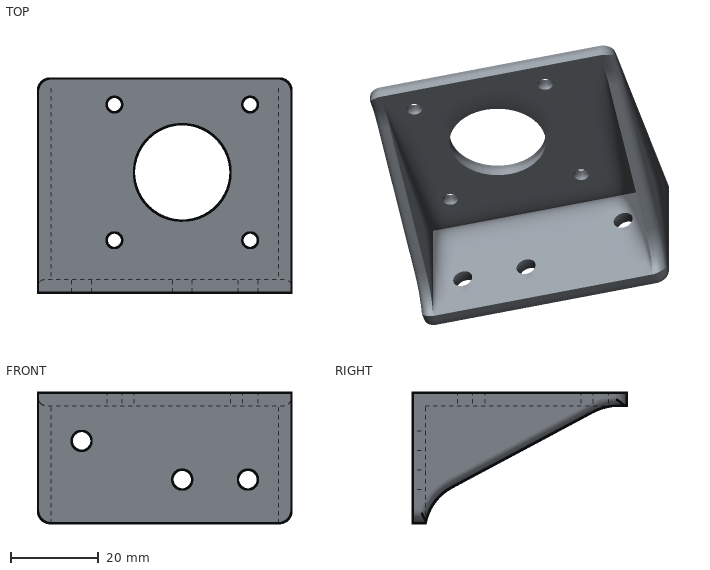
import cadquery as cq
import math

width = 58.0
depth = 49.0
height = 29.85
wall = 3.0

slope_angle = math.radians(28.1)
tip_flat = 2.0
upper_arc_radius = 12.5
lower_arc_radius = 11.4

corner_radius = 3.0
gusset_edge_radius = 2.0

motor_x = 33.0
motor_y = 27.5
motor_bore_diameter = 22.0
motor_hole_spacing = 31.0
motor_hole_diameter = 3.5

front_hole_diameter = 4.5
edge_distance = 10.0
upper_hole_z = -11.0
lower_holes_z = edge_distance - height
front_holes = [
    (edge_distance, upper_hole_z),
    (motor_x, lower_holes_z),
    (width - edge_distance, lower_holes_z),
]

overrun = 5.0


def arc_point(center, radius, steepness):
    """Point (y, z) of an underside arc where its tangent has the given steepness."""
    y, z = center
    return (y - radius * math.sin(steepness), z + radius * math.cos(steepness))


def lower_arc_center(upper_center):
    """Center of the arc that touches the slope and passes through the inner lower edge of the front plate."""
    down_slope = (-math.cos(slope_angle), -math.sin(slope_angle))
    off_slope = (math.sin(slope_angle), -math.cos(slope_angle))
    radius_change = lower_arc_radius - upper_arc_radius
    base_y = upper_center[0] + radius_change * off_slope[0]
    base_z = upper_center[1] + radius_change * off_slope[1]
    edge_y = wall - base_y
    edge_z = -height - base_z
    along = edge_y * down_slope[0] + edge_z * down_slope[1]
    across = edge_y * off_slope[0] + edge_z * off_slope[1]
    shift = along - math.sqrt(lower_arc_radius**2 - across**2)
    return (base_y + shift * down_slope[0], base_z + shift * down_slope[1])


def make_wedge():
    """Full-width wedge with rounded sloping edges, running on past the rear tip and the lower edge."""
    vertical = math.pi / 2
    upper_center = (depth - tip_flat, -wall - upper_arc_radius)
    lower_center = lower_arc_center(upper_center)
    lower_end = arc_point(lower_center, lower_arc_radius, vertical)
    floor_z = -height - overrun
    rear_y = depth + overrun

    wedge = (
        cq.Workplane("YZ")
        .moveTo(0, 0)
        .lineTo(rear_y, 0)
        .lineTo(rear_y, -wall)
        .lineTo(depth - tip_flat, -wall)
        .threePointArc(
            arc_point(upper_center, upper_arc_radius, slope_angle / 2),
            arc_point(upper_center, upper_arc_radius, slope_angle),
        )
        .lineTo(*arc_point(lower_center, lower_arc_radius, slope_angle))
        .threePointArc(
            arc_point(lower_center, lower_arc_radius, (slope_angle + vertical) / 2),
            lower_end,
        )
        .lineTo(lower_end[0], floor_z)
        .lineTo(0, floor_z)
        .close()
        .extrude(width)
    )
    middle_of_slope = (depth / 2, -height / 2)
    for side_x in (0, width):
        edge = cq.selectors.NearestToPointSelector((side_x, *middle_of_slope))
        wedge = wedge.edges(edge).fillet(gusset_edge_radius)
    return wedge


def make_envelope():
    """Outer box with rounded rear corners on the top plate and rounded lower corners on the front plate."""
    return (
        cq.Workplane("XY")
        .box(width, depth, height, centered=False)
        .translate((0, 0, -height))
        .edges("|Z and >Y")
        .fillet(corner_radius)
        .edges("|Y and <Z")
        .fillet(corner_radius)
    )


def make_pocket():
    """Space between the two gussets, behind the front plate and below the top plate."""
    return (
        cq.Workplane("XY")
        .box(width - 2 * wall, depth, height, centered=False)
        .translate((wall, wall, -wall - height))
    )


def drill_motor_holes(bracket):
    top_plate = cq.Workplane("XY", origin=(motor_x, motor_y, 0))
    bore = top_plate.circle(motor_bore_diameter / 2).extrude(-wall)
    screws = (
        top_plate.rect(motor_hole_spacing, motor_hole_spacing, forConstruction=True)
        .vertices()
        .circle(motor_hole_diameter / 2)
        .extrude(-wall)
    )
    return bracket.cut(bore).cut(screws)


def drill_front_holes(bracket):
    holes = (
        cq.Workplane("XZ")
        .pushPoints(front_holes)
        .circle(front_hole_diameter / 2)
        .extrude(-wall)
    )
    return bracket.cut(holes)


bracket = make_envelope().intersect(make_wedge())
bracket = bracket.cut(make_pocket())
bracket = drill_motor_holes(bracket)
result = drill_front_holes(bracket)